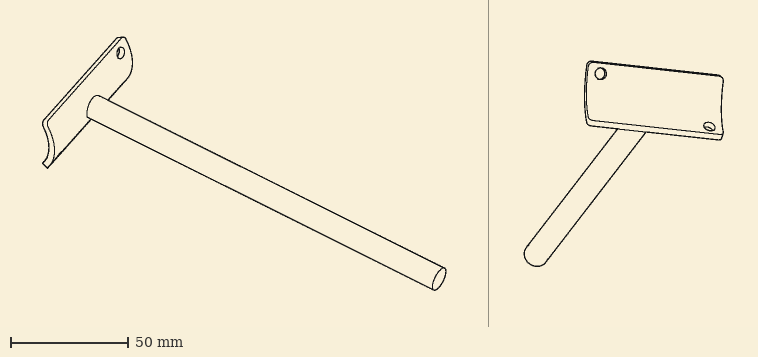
import cadquery as cq
import math

total_length = 184.0
plate_width = 60.0
plate_height = 30.0
outer_radius = 27.6
plate_thickness = 3.0
corner_radius = 2.0

rod_diameter = 10.5

hole_diameter = 5.0
hole_offset = 24.1
hole_angle = 22.5

inner_radius = outer_radius - plate_thickness
half_angle = math.degrees(math.asin(plate_height / 2 / outer_radius))
tip_x = inner_radius * math.cos(math.radians(half_angle))
rod_end_x = tip_x + total_length


def polar(radius, angle):
    """Point in the XZ plane at an angle above the X axis."""
    theta = math.radians(angle)
    return radius * math.cos(theta), radius * math.sin(theta)


def saddle_plate():
    plate = (
        cq.Workplane("XZ")
        .moveTo(*polar(inner_radius, -half_angle))
        .threePointArc((inner_radius, 0), polar(inner_radius, half_angle))
        .lineTo(*polar(outer_radius, half_angle))
        .threePointArc((outer_radius, 0), polar(outer_radius, -half_angle))
        .close()
        .extrude(plate_width / 2, both=True)
    )
    return plate.edges("%LINE and (not |Y)").fillet(corner_radius)


def rod():
    start_x = (inner_radius + outer_radius) / 2
    return (
        cq.Workplane("YZ", origin=(start_x, 0, 0))
        .circle(rod_diameter / 2)
        .extrude(rod_end_x - start_x)
    )


def radial_hole(y, angle):
    x_dir, z_dir = polar(1, angle)
    drill = cq.Solid.makeCylinder(
        hole_diameter / 2,
        outer_radius + plate_thickness,
        cq.Vector(0, y, 0),
        cq.Vector(x_dir, 0, z_dir),
    )
    return cq.Workplane(obj=drill)


body = saddle_plate()
for side in (1, -1):
    body = body.cut(radial_hole(side * hole_offset, side * hole_angle))

result = body.union(rod())